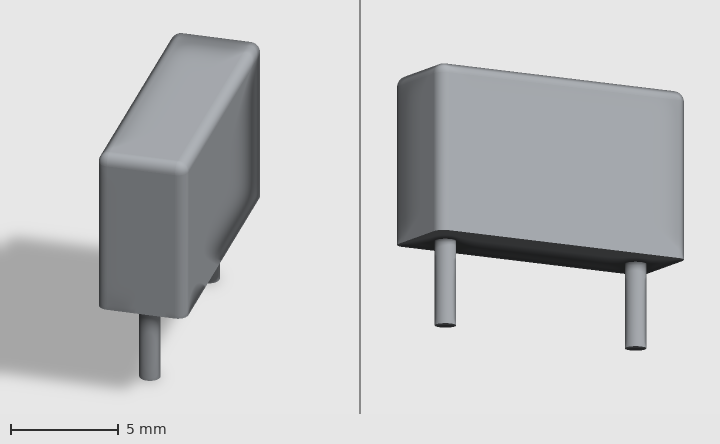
import cadquery as cq

body_width = 4.3
body_length = 13.3
total_height = 12.0
pin_length = 4.0
body_height = total_height - pin_length
edge_radius = 0.5

pin_diameter = 1.0
pin_spacing = 10.19


def make_body():
    block = cq.Workplane("XY").box(body_width, body_length, body_height, centered=(True, True, False))
    return block.edges("|Z or >Z").fillet(edge_radius)


def make_pins():
    return (
        cq.Workplane("XY")
        .pushPoints([(0, -pin_spacing / 2), (0, pin_spacing / 2)])
        .circle(pin_diameter / 2)
        .extrude(-pin_length)
    )


result = make_body().union(make_pins())